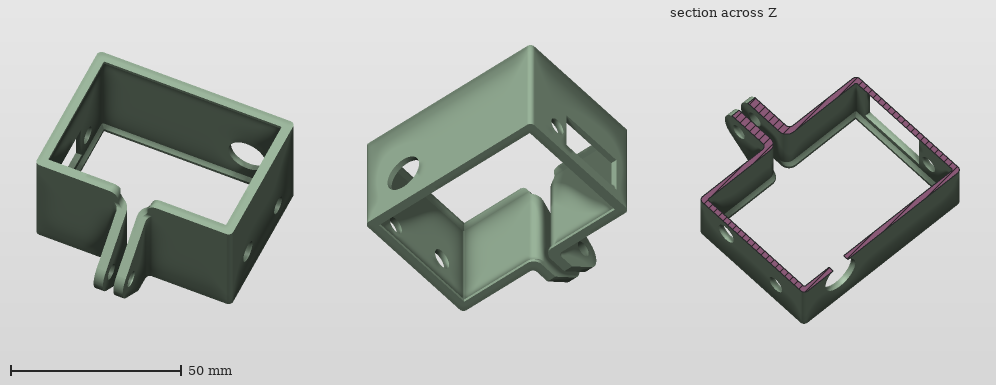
import cadquery as cq
import math


opening_x = 57.4
opening_y = 39.3
height = 34.5
lip_wall = 3.0
length_x = opening_x + 2 * lip_wall
depth_y = opening_y + 2 * lip_wall
outer_corner_radius = 1.5

lip_height = 1.0
recess_depth = 1.1
recess_corner_radius = 0.5
recess_wall = lip_wall - recess_depth

ear_gap = 3.4
ear_thickness = 3.0
ear_inner_x = ear_gap / 2
ear_outer_x = ear_inner_x + ear_thickness
ear_tip_y = -17.5
ear_tip_radius = 6.0
ear_tip_flat = 0.27
ear_slope_angle = 39.0
pivot_hole = {"y": -11.5, "z": 12.0, "diameter": 5.0}
bend_radius = 3.0
root_radius = 1.5
wall_end_radius = 3.0

window_y = 6.0
window_z = 4.0
window_width = 23.0
window_height = 13.0
cross_hole = {"y": 33.2, "z": 8.5, "diameter": 5.5}
side_hole = {"y": 11.9, "z": 12.0, "diameter": 6.5}
back_hole = {"x": 17.0, "z": 12.0, "diameter": 12.0}

margin = 1.0

slope = math.radians(ear_slope_angle)
slope_rise = math.tan(slope)
arc_center_y = ear_tip_y + ear_tip_radius
upper_arc_z = pivot_hole["z"] + ear_tip_flat / 2
lower_arc_z = pivot_hole["z"] - ear_tip_flat / 2
slope_offset = ear_tip_radius / math.cos(slope)
upper_slope_at_front = upper_arc_z + slope_offset - arc_center_y * slope_rise
lower_slope_end_y = arc_center_y + (lower_arc_z - slope_offset) / slope_rise
ear_clear_y = ear_tip_y - margin


def box(x_range, y_range, z_range):
    size = [high - low for low, high in (x_range, y_range, z_range)]
    corner = (x_range[0], y_range[0], z_range[0])
    return cq.Workplane("XY").box(*size, centered=False).translate(corner)


def mirrored(body):
    """Return the body together with its copy on the other side of X = 0."""
    return body.union(body.mirror("YZ"))


def upper_slope_z(y):
    """Height of the ears' upper edge, extended as a plane, at the given Y."""
    return upper_slope_at_front + y * slope_rise


def outer_frame():
    half = length_x / 2
    return box((-half, half), (0, depth_y), (0, height)).edges("|Z").fillet(outer_corner_radius)


def cavity():
    half = opening_x / 2
    opening = box((-half, half), (lip_wall, depth_y - lip_wall), (-margin, height + margin))
    recess_box = box(
        (-half - recess_depth, half + recess_depth),
        (recess_wall, depth_y - recess_wall),
        (lip_height, height - lip_height),
    )
    rounded = recess_box.edges("|Z").fillet(recess_corner_radius)
    recess = recess_box.faces("<Z or >Z").chamfer(recess_depth).intersect(rounded)
    return opening.union(recess)


def tip_arc_point(angle):
    """Offset in Y and Z from a tip arc's centre, at an angle above the direction of the tip."""
    return -ear_tip_radius * math.cos(angle), ear_tip_radius * math.sin(angle)


def ear():
    """One ear plate with the concave fillet at its side, before the top is trimmed."""
    arc_angle = math.pi / 2 - slope
    mid_y, mid_rise = tip_arc_point(arc_angle / 2)
    end_y, end_rise = tip_arc_point(arc_angle)
    plate = (
        cq.Workplane("YZ", origin=(ear_inner_x, 0, 0))
        .moveTo(lip_wall, 0)
        .lineTo(lower_slope_end_y, 0)
        .lineTo(arc_center_y + end_y, lower_arc_z - end_rise)
        .threePointArc((arc_center_y + mid_y, lower_arc_z - mid_rise), (ear_tip_y, lower_arc_z))
        .lineTo(ear_tip_y, upper_arc_z)
        .threePointArc(
            (arc_center_y + mid_y, upper_arc_z + mid_rise),
            (arc_center_y + end_y, upper_arc_z + end_rise),
        )
        .lineTo(-root_radius, upper_slope_z(-root_radius))
        .lineTo(-root_radius, height)
        .lineTo(lip_wall, height)
        .close()
        .extrude(ear_thickness)
    )
    fillet_end_x = ear_outer_x + root_radius
    block = box((ear_outer_x, fillet_end_x), (-root_radius, 0), (0, height))
    round_cut = cq.Workplane("XY").center(fillet_end_x, -root_radius).circle(root_radius).extrude(height)
    return plate.union(block.cut(round_cut))


def gap_outline(z, wall):
    """Gap between the ears, flaring into the cavity through a front wall of the given thickness."""
    start_y = wall - bend_radius
    flare_x = ear_inner_x + bend_radius
    mid_x = flare_x - bend_radius * math.cos(math.pi / 4)
    mid_y = start_y + bend_radius * math.sin(math.pi / 4)
    return (
        cq.Workplane("XY", origin=(0, 0, z))
        .moveTo(-ear_inner_x, ear_clear_y)
        .lineTo(ear_inner_x, ear_clear_y)
        .lineTo(ear_inner_x, start_y)
        .threePointArc((mid_x, mid_y), (flare_x, wall))
        .lineTo(-flare_x, wall)
        .threePointArc((-mid_x, mid_y), (-ear_inner_x, start_y))
        .close()
    )


def ear_gap_cut():
    """The gap follows the lip at the bottom, then the recess."""
    recess_start = lip_height + recess_depth
    upper_outline = gap_outline(recess_start, recess_wall).wires().val()
    lower_outline = gap_outline(lip_height, lip_wall).wires().val()
    at_lip = gap_outline(-margin, lip_wall).extrude(lip_height + margin)
    between = cq.Workplane(cq.Solid.makeLoft([lower_outline, upper_outline], True))
    at_recess = gap_outline(recess_start, recess_wall).extrude(height)
    return at_lip.union(between).union(at_recess)


def front_trim():
    """Space above the ears in front of the wall, filleted into the wall's outer face."""
    setback = root_radius * math.tan((math.pi / 2 - slope) / 2)
    foot_y = -setback * math.cos(slope)
    center_z = upper_slope_at_front + setback
    mid_angle = -(math.pi / 2 - slope) / 2
    mid = (-root_radius + root_radius * math.cos(mid_angle), center_z + root_radius * math.sin(mid_angle))
    half = ear_outer_x + root_radius + margin
    return (
        cq.Workplane("YZ", origin=(-half, 0, 0))
        .moveTo(0, height + margin)
        .lineTo(0, center_z)
        .threePointArc(mid, (foot_y, upper_slope_z(foot_y)))
        .lineTo(ear_clear_y, upper_slope_z(ear_clear_y))
        .lineTo(ear_clear_y, height + margin)
        .close()
        .extrude(2 * half)
    )


def wall_gap_trim():
    """Space above the ears between the wall ends, filleted along both sides of its sloping floor."""
    reach = 2 * height
    along_slope = cq.Plane(
        origin=(0, 0, upper_slope_at_front),
        xDir=(1, 0, 0),
        normal=(0, -math.cos(slope), -math.sin(slope)),
    )
    channel = (
        cq.Workplane(along_slope)
        .center(0, reach / 2)
        .rect(2 * ear_outer_x, reach)
        .extrude(reach, both=True)
    )
    floor_edges = cq.selectors.BoxSelector(
        (-ear_outer_x - margin, -margin, upper_slope_at_front - margin),
        (ear_outer_x + margin, margin, upper_slope_at_front + margin),
    )
    channel = channel.edges(floor_edges).fillet(root_radius)
    half = ear_outer_x + margin
    channel = channel.intersect(box((-half, half), (ear_clear_y, lip_wall), (0, height + margin)))
    lip_clearance = box(
        (-ear_outer_x, ear_outer_x),
        (0, lip_wall),
        (height - lip_height - recess_depth, height + margin),
    )
    return channel.union(lip_clearance)


def wall_end_round():
    """Corner removed where the top of the front wall meets the gap."""
    end_x = ear_outer_x + wall_end_radius
    round_z = height - wall_end_radius
    corner = box((ear_outer_x, end_x), (-margin, lip_wall), (round_z, height + margin))
    rounding = (
        cq.Workplane("XZ", origin=(0, lip_wall, 0))
        .center(end_x, round_z)
        .circle(wall_end_radius)
        .extrude(lip_wall + margin)
    )
    return corner.cut(rounding)


def cylinder_along_x(hole, start_x, end_x):
    return (
        cq.Workplane("YZ", origin=(start_x, 0, 0))
        .center(hole["y"], hole["z"])
        .circle(hole["diameter"] / 2)
        .extrude(end_x - start_x)
    )


def side_cuts():
    outside = length_x / 2 + margin
    window = box(
        (-outside, 0),
        (window_y, window_y + window_width),
        (window_z, window_z + window_height),
    )
    cross = cylinder_along_x(cross_hole, -outside, outside)
    side = cylinder_along_x(side_hole, 0, outside)
    return window.union(cross).union(side)


def back_cut():
    return (
        cq.Workplane("XZ", origin=(0, depth_y + margin, 0))
        .center(back_hole["x"], back_hole["z"])
        .circle(back_hole["diameter"] / 2)
        .extrude(lip_wall + 2 * margin)
    )


def pivot_cut():
    return cylinder_along_x(pivot_hole, -ear_outer_x - margin, ear_outer_x + margin)


result = (
    outer_frame()
    .union(mirrored(ear()))
    .cut(cavity())
    .cut(ear_gap_cut())
    .cut(front_trim())
    .cut(wall_gap_trim())
    .cut(mirrored(wall_end_round()))
    .cut(side_cuts())
    .cut(back_cut())
    .cut(pivot_cut())
)